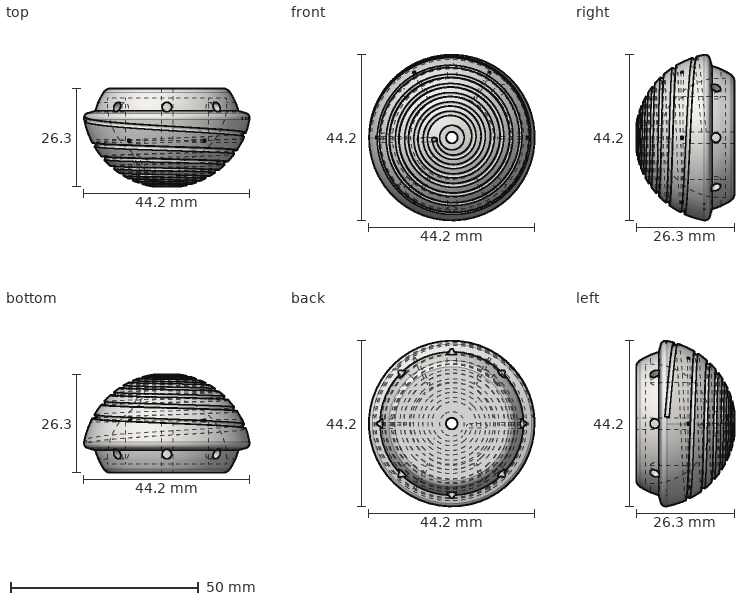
import cadquery as cq
import math

LENGTH = 26.25
MAX_RADIUS = 22.1

BORE_RADIUS = 3.25
DOME_CENTER_Y = 22.25
DOME_RADIUS = math.hypot(DOME_CENTER_Y, BORE_RADIUS)

RIM_ROUND = 1.45
RIM_END_Y = 19.62
NECK_START_Y = 20.25
NECK_START_RADIUS = 19.1

NECK_MID_Y = 22.8
NECK_MID_RADIUS = 18.15
NECK_END_Y = 25.2
NECK_END_RADIUS = 16.85
BACK_FACE_RADIUS = 15.2

CAVITY_RADIUS = 15.9
BACK_WALL = 2.48
POST_RADIUS = 11.05
POST_FRONT_Y = 12.4
POST_HOLE_RADIUS = 1.5

NECK_HOLE_COUNT = 8
NECK_HOLE_DIAMETER = 2.5
NECK_HOLE_Y = 21.25
PIN_HOLE_COUNT = 6
PIN_HOLE_DIAMETER = 0.7
PIN_HOLE_Y = 12.3

GROOVE_DIAMETER = 1.2
GROOVE_RADIUS = GROOVE_DIAMETER / 2
SPIRAL_INNER_RADIUS = 4.6
SPIRAL_TURNS = 7
SPIRAL_PITCH = (MAX_RADIUS - SPIRAL_INNER_RADIUS) / SPIRAL_TURNS
SPIRAL_START_ANGLE = 7.0
SPIRAL_END_ANGLE = 4.7
POINTS_PER_TURN = 12
FIRST_TURN = SPIRAL_START_ANGLE / 360
LAST_TURN = SPIRAL_TURNS - SPIRAL_END_ANGLE / 360

THREAD_HOLE_TILT = 24.7
THREAD_HOLE_DEPTH = 10.15


def dome_radius_at(y):
    return math.sqrt(DOME_RADIUS**2 - (DOME_CENTER_Y - y) ** 2)


def revolve(profile):
    return profile.close().revolve(360, (0, 0, 0), (0, 1, 0))


def body():
    rim_center_radius = MAX_RADIUS - RIM_ROUND
    center_distance = DOME_RADIUS - RIM_ROUND
    rim_center_y = DOME_CENTER_Y - math.sqrt(center_distance**2 - rim_center_radius**2)
    rim_start_y = DOME_CENTER_Y - (DOME_CENTER_Y - rim_center_y) * DOME_RADIUS / center_distance
    rim_end_radius = rim_center_radius + math.sqrt(RIM_ROUND**2 - (RIM_END_Y - rim_center_y) ** 2)
    dome_mid_y = rim_start_y / 2
    dome_mid = (-dome_radius_at(dome_mid_y), dome_mid_y)
    dome_end = (-dome_radius_at(rim_start_y), rim_start_y)
    return revolve(
        cq.Workplane("XY")
        .moveTo(-BORE_RADIUS, 0)
        .threePointArc(dome_mid, dome_end)
        .threePointArc((-MAX_RADIUS, rim_center_y), (-rim_end_radius, RIM_END_Y))
        .lineTo(-NECK_START_RADIUS, NECK_START_Y)
        .threePointArc((-NECK_MID_RADIUS, NECK_MID_Y), (-NECK_END_RADIUS, NECK_END_Y))
        .tangentArcPoint((-BACK_FACE_RADIUS, LENGTH), relative=False)
        .lineTo(-POST_HOLE_RADIUS, LENGTH)
        .lineTo(-POST_HOLE_RADIUS, POST_FRONT_Y)
        .lineTo(-BORE_RADIUS, POST_FRONT_Y)
    )


def cavity():
    back_y = LENGTH - BACK_WALL
    back_radius = math.sqrt(CAVITY_RADIUS**2 - (back_y - DOME_CENTER_Y) ** 2)
    front_y = DOME_CENTER_Y - math.sqrt(CAVITY_RADIUS**2 - BORE_RADIUS**2)
    return revolve(
        cq.Workplane("XY")
        .moveTo(-BORE_RADIUS, front_y)
        .threePointArc((-CAVITY_RADIUS, DOME_CENTER_Y), (-back_radius, back_y))
        .lineTo(-POST_RADIUS, back_y)
        .lineTo(-POST_RADIUS, POST_FRONT_Y)
        .lineTo(-BORE_RADIUS, POST_FRONT_Y)
    )


def radial_holes(count, diameter, y):
    holes = cq.Workplane("XY")
    for i in range(count):
        angle = math.tau * i / count
        outward = cq.Vector(math.cos(angle), 0, math.sin(angle))
        start = outward * POST_RADIUS + cq.Vector(0, y, 0)
        holes.add(cq.Solid.makeCylinder(diameter / 2, MAX_RADIUS - POST_RADIUS, start, outward))
    return holes.combine()


def spiral_point(turn):
    radius = SPIRAL_INNER_RADIUS + SPIRAL_PITCH * turn
    angle = math.pi + math.tau * turn
    y = DOME_CENTER_Y - math.sqrt(DOME_RADIUS**2 - radius**2)
    return cq.Vector(radius * math.cos(angle), y, radius * math.sin(angle))


def groove_pieces():
    steps = SPIRAL_TURNS * POINTS_PER_TURN
    turn_step = (LAST_TURN - FIRST_TURN) / steps
    path = cq.Edge.makeSpline([spiral_point(FIRST_TURN + turn_step * i) for i in range(steps + 1)])
    path_start, path_end = path.bounds()
    piece_count = 2 * SPIRAL_TURNS
    piece_length = (path_end - path_start) / piece_count
    pieces = []
    for i in range(piece_count):
        piece_start = path_start + piece_length * i
        piece = path.trim(piece_start, piece_start + piece_length)
        section = cq.Plane(piece.startPoint(), (0, 1, 0), piece.tangentAt(0))
        channel = cq.Workplane(section).circle(GROOVE_RADIUS)
        pieces.append(channel.sweep(cq.Workplane(piece), isFrenet=True))
    return pieces


def thread_hole():
    tilt = math.radians(THREAD_HOLE_TILT)
    inward = cq.Vector(-math.sin(tilt), math.cos(tilt), 0)
    start = spiral_point(FIRST_TURN) - inward * GROOVE_RADIUS
    length = THREAD_HOLE_DEPTH + GROOVE_RADIUS
    return cq.Workplane(cq.Solid.makeCylinder(GROOVE_RADIUS, length, start, inward))


result = (
    body()
    .cut(cavity())
    .cut(radial_holes(NECK_HOLE_COUNT, NECK_HOLE_DIAMETER, NECK_HOLE_Y))
    .cut(radial_holes(PIN_HOLE_COUNT, PIN_HOLE_DIAMETER, PIN_HOLE_Y))
    .cut(thread_hole())
)
for groove_piece in groove_pieces():
    result = result.cut(groove_piece)